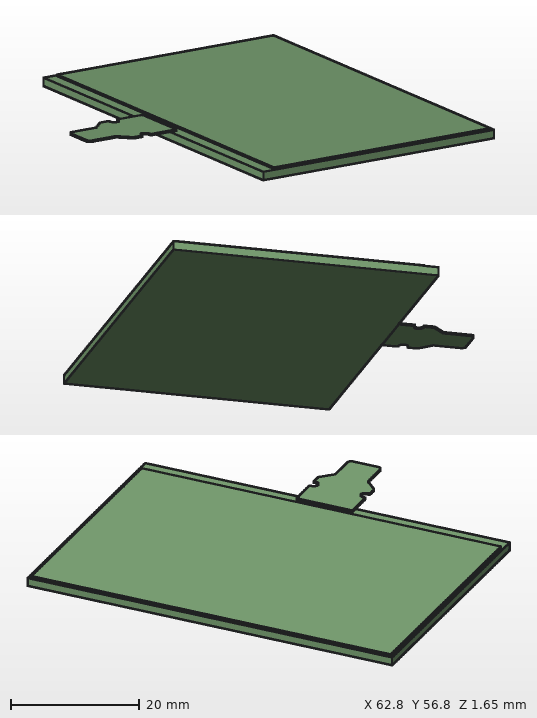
import cadquery as cq

panel_width = 62.8
total_length = 56.8
total_height = 1.65

panel_length = 42.95
film_thickness = 0.25
panel_thickness = total_height - film_thickness
film_margin = 0.45
film_front_margin = 2.25

tail_overlap = 1.1
tail_width = 9.7
tail_end_width = 5.65
tail_thickness = film_thickness
tail_corner_radius = 0.6
taper_start = 7.9

notch_width = 1.5
notch_depth = 1.1
notch_setback = 5.5

panel_front = -panel_length / 2
panel_rear = panel_length / 2


def make_panel():
    return cq.Workplane("XY").box(panel_width, panel_length, panel_thickness, centered=(True, True, False))


def make_film():
    film_width = panel_width - 2 * film_margin
    film_length = panel_length - film_margin - film_front_margin
    film_center_y = (film_front_margin - film_margin) / 2
    return (
        cq.Workplane("XY", origin=(0, film_center_y, panel_thickness))
        .box(film_width, film_length, film_thickness, centered=(True, True, False))
    )


def make_tail():
    rear_y = panel_front + tail_overlap
    front_y = panel_rear - total_length
    half_width = tail_width / 2
    half_end = tail_end_width / 2
    taper_rear_y = rear_y - taper_start
    taper_front_y = taper_rear_y - (half_width - half_end)
    outline = [
        (-half_width, rear_y),
        (half_width, rear_y),
        (half_width, taper_rear_y),
        (half_end, taper_front_y),
        (half_end, front_y),
        (-half_end, front_y),
        (-half_end, taper_front_y),
        (-half_width, taper_rear_y),
    ]
    tail = (
        cq.Workplane("XY", origin=(0, 0, panel_thickness))
        .polyline(outline)
        .close()
        .extrude(tail_thickness)
        .faces("<Y")
        .edges("|Z")
        .fillet(tail_corner_radius)
    )
    notches = (
        cq.Workplane("XY", origin=(0, rear_y - notch_setback, panel_thickness))
        .pushPoints([(-half_width, 0), (half_width, 0)])
        .slot2D(2 * notch_depth, notch_width)
        .extrude(tail_thickness)
    )
    return tail.cut(notches)


result = make_panel().union(make_film()).union(make_tail())